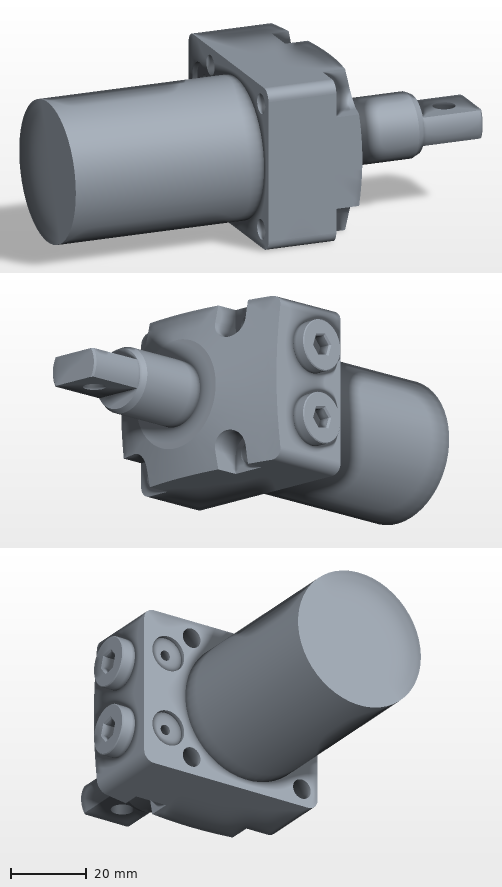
import cadquery as cq
import math

total_length = 121.5

block_right = 22.5
block_left = 32.6
block_height = 45.0
block_depth = 29.0
corner_radius = 3.0
nose_flat_radius = 14.8
nose_cone_angle = 15.5

barrel_diameter = 39.0
barrel_length = 54.0

mount_offset = 17.5
mount_hole_diameter = 5.6
pocket_radius = 4.7
pocket_floor = 19.5

port_x = -24.9
port_z = 10.9
port_recess_diameter = 10.1
port_recess_depth = 1.5
port_hole_diameter = 2.9

plug_y = 11.0
plug_z = 10.0
plug_head_diameter = 14.0
plug_head_height = 4.1
plug_shank_diameter = 9.7
plug_shank_length = 7.9
plug_bore_depth = 10.0
hex_mouth_across_flats = 6.1
plug_head_chamfer = 0.2
plug_tip_chamfer = 0.2
socket_chamfer = 0.5
hex_depth = 3.6
hex_turn = 11.0

rod_radius = 9.0
rod_chamfer_length = 1.8
tab_radius = 8.1
tab_thickness = 7.9
tab_length = 16.9
tab_tip_chamfer = 0.5
eye_diameter = 6.1
eye_from_tip = 7.9

rod_tip = total_length - barrel_length
shoulder = rod_tip - tab_length


def along_y(y, x=0.0, z=0.0):
    """Workplane at (x, y, z) whose normal is +Y; its local axes are X and -Z."""
    return cq.Workplane("XZ", origin=(x, y, z)).transformed(rotate=(180, 0, 0))


def make_block():
    """Plate with rounded corners."""
    width = block_left + block_right
    center_x = (block_right - block_left) / 2
    block = cq.Workplane("XY").box(width, block_depth, block_height)
    block = block.translate((center_x, block_depth / 2, 0))
    return block.edges("|Y").fillet(corner_radius)


def make_nose_envelope():
    """Cone about the rod axis that slopes the front of the block back."""
    reach = math.hypot(block_left, block_height / 2)
    drop = (reach - nose_flat_radius) * math.tan(math.radians(nose_cone_angle))
    profile = (
        cq.Workplane("XY")
        .polyline([
            (0, 0),
            (reach, 0),
            (reach, block_depth - drop),
            (nose_flat_radius, block_depth),
            (0, block_depth),
        ])
        .close()
    )
    return profile.revolve(360, (0, 0, 0), (0, 1, 0))


def make_mount_cut(side_x, side_z):
    """Through hole with a screw-head pocket that is open to the outside of the block."""
    x = side_x * mount_offset
    z = side_z * mount_offset
    height = block_depth - pocket_floor
    hole = along_y(0, x, z).circle(mount_hole_diameter / 2).extrude(block_depth)
    round_seat = along_y(pocket_floor, x, z).circle(pocket_radius).extrude(height)
    slot_center_z = z + side_z * pocket_radius
    slot_size = 2 * pocket_radius
    slot = along_y(pocket_floor, x, slot_center_z).rect(slot_size, slot_size).extrude(height)
    cut = hole.union(round_seat).union(slot)
    if side_x > 0:
        corner_width = block_right - mount_offset
        corner_inner = mount_offset - pocket_radius
        corner_height = block_height / 2 - corner_inner
        corner_z = side_z * (corner_inner + corner_height / 2)
        corner = along_y(pocket_floor, x + corner_width / 2, corner_z)
        cut = cut.union(corner.rect(corner_width, corner_height).extrude(height))
    return cut


def make_port_cut(side_z):
    """Shallow round recess in the rear face with a small hole into the plug bore."""
    z = side_z * port_z
    recess = along_y(0, port_x, z).circle(port_recess_diameter / 2).extrude(port_recess_depth)
    hole = along_y(0, port_x, z).circle(port_hole_diameter / 2).extrude(plug_y)
    return recess.union(hole)


def plug_plane(side_z):
    """Workplane on the -X face, centered on a plug, whose normal is +X."""
    return cq.Workplane("YZ", origin=(-block_left, plug_y, side_z * plug_z))


def make_housing():
    """Block and barrel in one piece, with mounting holes, ports and plug bores."""
    housing = make_block().intersect(make_nose_envelope())
    housing = housing.union(along_y(-barrel_length).circle(barrel_diameter / 2).extrude(barrel_length))
    for side_z in (-1, 1):
        for side_x in (-1, 1):
            housing = housing.cut(make_mount_cut(side_x, side_z))
        housing = housing.cut(make_port_cut(side_z))
        bore = plug_plane(side_z).circle(plug_shank_diameter / 2).extrude(plug_bore_depth)
        housing = housing.cut(bore)
    return housing


def hexagon(side_z, across_flats):
    """Turned hexagon drawn on the outer face of a plug head."""
    across_corners = across_flats / math.cos(math.pi / 6)
    outer_face = plug_plane(side_z).workplane(offset=-plug_head_height)
    return outer_face.transformed(rotate=(0, 0, -hex_turn)).polygon(6, across_corners)


def make_plug(side_z):
    """Screw plug: flat round head with a hexagon socket, and a shank in the bore."""
    head = plug_plane(side_z).circle(plug_head_diameter / 2).extrude(-plug_head_height)
    head = head.faces("<X or >X").chamfer(plug_head_chamfer)
    shank = plug_plane(side_z).circle(plug_shank_diameter / 2).extrude(plug_shank_length)
    shank = shank.faces(">X").chamfer(plug_tip_chamfer)
    mouth = hexagon(side_z, hex_mouth_across_flats).extrude(socket_chamfer, taper=45)
    socket = hexagon(side_z, hex_mouth_across_flats - 2 * socket_chamfer).extrude(hex_depth)
    return head.union(shank).cut(mouth).cut(socket)


def make_rod():
    """Round rod standing on the housing nose, ending in a flat tab with a cross hole."""
    profile = (
        cq.Workplane("XY")
        .polyline([
            (0, block_depth),
            (rod_radius, block_depth),
            (rod_radius, shoulder - rod_chamfer_length),
            (tab_radius, shoulder),
            (tab_radius, rod_tip - tab_tip_chamfer),
            (tab_radius - tab_tip_chamfer, rod_tip),
            (0, rod_tip),
        ])
        .close()
    )
    rod = profile.revolve(360, (0, 0, 0), (0, 1, 0))
    for side_z in (-1, 1):
        flat = cq.Workplane("XY").box(2 * rod_radius, tab_length, rod_radius)
        flat_z = side_z * (tab_thickness + rod_radius) / 2
        rod = rod.cut(flat.translate((0, rod_tip - tab_length / 2, flat_z)))
    eye = cq.Workplane("XY", origin=(0, rod_tip - eye_from_tip, 0)).circle(eye_diameter / 2)
    return rod.cut(eye.extrude(tab_thickness, both=True))


housing = make_housing()
rod = make_rod()
plugs = [make_plug(side_z) for side_z in (-1, 1)]

result = cq.Compound.makeCompound([housing.val(), rod.val(), *[plug.val() for plug in plugs]])